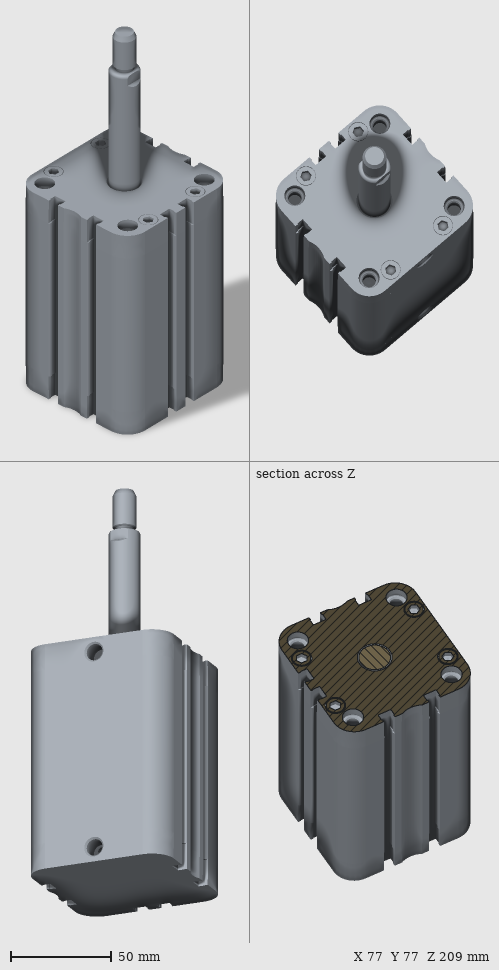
import cadquery as cq
import math

overall_height = 209.0
body_height = 119.1
body_width = 77.0
corner_radius = 12.0
cap_height = 13.5
cap_draft = 0.1

slot_depth = 5.2
barrel_slot_width = 6.0
cap_slot_width = 7.1
cap_slot_mouth_width = 6.3
barrel_slot_mouth_width = 5.0
slot_lip_thickness = 1.7
barrel_slot_chamfer = 0.6
wide_slot_offset = 13.0
narrow_slot_offset = 6.5
trough_width = 12.0
trough_depth = 1.5

mount_offset = 28.2
mount_bore_diameter = 10.5
mount_bore_depth = 5.0
mount_chamfer_diameter = 8.2
mount_hole_diameter = 6.7
mount_hole_depth = 11.5

head_x = 32.2
head_y = 17.3
head_diameter = 9.5
head_groove_diameter = 10.0
head_groove_depth = 0.8
socket_flats = 5.0
socket_depth = 3.1
left_socket_angle = 0
right_socket_angle = 30

port_inset = 7.7
port_diameter = 8.5
port_mouth_diameter = 10.5
port_depth = 10.0
feed_diameter = 4.0
feed_depth = 6.3
feed_offset = 1.0

rod_diameter = 16.0
rod_shoulder_drop = 21.7
rod_shoulder_fillet = 1.7
rod_recess_diameter = 18.0
thread_diameter = 12.0
thread_tip_diameter = 9.5
thread_tip_length = 2.7
neck_diameter = 9.8
neck_length = 1.9
thread_runout = 0.6
flat_distance = 13.0
flat_length = 5.6

half_width = body_width / 2
barrel_height = body_height - 2 * cap_height
barrel_top = cap_height + barrel_height
rod_shoulder_z = overall_height - rod_shoulder_drop
draft_angle = math.degrees(math.atan(cap_draft / cap_height))

slot_places = [
    (angle, sign * offset)
    for angle, offset in ((0, narrow_slot_offset), (90, wide_slot_offset), (-90, wide_slot_offset))
    for sign in (-1, 1)
]


def turned(shape, angle):
    """The shape turned about the Z axis."""
    return shape.rotate((0, 0, 0), (0, 0, 1), angle)


def rounded_square():
    """Outer section of the barrel and of the cap joint faces."""
    corners = cq.Sketch().rect(body_width, body_width).vertices().fillet(corner_radius)
    return cq.Workplane("XY").placeSketch(corners)


def cut_troughs(body, height):
    """Cut the shallow round trough along the middle of the -Y and +Y sides."""
    radius = ((trough_width / 2) ** 2 + trough_depth**2) / (2 * trough_depth)
    axis_distance = half_width - trough_depth + radius
    for sign in (-1, 1):
        body = body.cut(cq.Workplane("XY").center(0, sign * axis_distance).circle(radius).extrude(height))
    return body


def cut_slots(body, half_profile, height):
    """Cut a slot at every slot place; half_profile runs from the mouth to the floor."""
    mirrored = [(x, -y) for x, y in reversed(half_profile)]
    slot = cq.Workplane("XY").polyline(half_profile + mirrored).close().extrude(height)
    for angle, offset in slot_places:
        body = body.cut(turned(slot.translate((0, offset, 0)), angle))
    return body


def slot_half_profile(mouth_width, slot_width):
    """One side of a lipped slot, from the lip to the floor."""
    floor_x = half_width - slot_depth
    lip_x = half_width - slot_lip_thickness
    return [
        (half_width, mouth_width / 2),
        (lip_x, mouth_width / 2),
        (lip_x, slot_width / 2),
        (floor_x, slot_width / 2),
    ]


def make_barrel():
    """Middle section, whose slots have narrow chamfered mouths."""
    mouth_half = barrel_slot_mouth_width / 2
    chamfer = [
        (half_width, mouth_half + barrel_slot_chamfer),
        (half_width - barrel_slot_chamfer, mouth_half),
    ]
    inner_profile = slot_half_profile(barrel_slot_mouth_width, barrel_slot_width)[1:]
    barrel = rounded_square().extrude(barrel_height)
    barrel = cut_slots(barrel, chamfer + inner_profile, barrel_height)
    barrel = cut_troughs(barrel, barrel_height)
    return barrel.translate((0, 0, cap_height))


def cut_port(cap):
    """Cut the threaded air port, with its countersunk mouth, into the -X side of a cap."""
    port_z = cap_height - port_inset
    face_x = -half_width + cap_draft * port_z / cap_height
    countersink = (port_mouth_diameter - port_diameter) / 2
    outline = [
        (-half_width, 0),
        (-half_width, port_mouth_diameter / 2),
        (face_x, port_mouth_diameter / 2),
        (face_x + countersink, port_diameter / 2),
        (face_x + port_depth, port_diameter / 2),
        (face_x + port_depth, 0),
    ]
    port = cq.Workplane("XY").polyline(outline).close().revolve(360, (0, 0, 0), (1, 0, 0))
    return cap.cut(port.translate((0, 0, port_z)))


def make_cap():
    """Cap common to both ends: joint face at z = 0, outer end at z = cap_height."""
    cap = rounded_square().extrude(cap_height, taper=draft_angle)
    half_profile = slot_half_profile(cap_slot_mouth_width, cap_slot_width)
    cap = cut_slots(cap, half_profile, cap_height)
    cap = cut_troughs(cap, cap_height)
    return cut_port(cap)


def cut_mounting_holes(cap):
    """Stepped blind holes in the four corners of the outer end."""
    bore_floor = cap_height - mount_bore_depth
    chamfer = (mount_chamfer_diameter - mount_hole_diameter) / 2
    outline = [
        (0, cap_height),
        (mount_bore_diameter / 2, cap_height),
        (mount_bore_diameter / 2, bore_floor),
        (mount_chamfer_diameter / 2, bore_floor),
        (mount_hole_diameter / 2, bore_floor - chamfer),
        (mount_hole_diameter / 2, cap_height - mount_hole_depth),
        (0, cap_height - mount_hole_depth),
    ]
    hole = cq.Workplane("XZ").polyline(outline).close().revolve(360, (0, 0, 0), (0, 1, 0))
    for x in (-mount_offset, mount_offset):
        for y in (-mount_offset, mount_offset):
            cap = cap.cut(hole.translate((x, y, 0)))
    return cap


def cut_screw_heads(cap):
    """Ring groove and hexagon socket for each of the four screw heads."""
    end_plane = cq.Workplane("XY").workplane(offset=cap_height)
    groove = end_plane.circle(head_groove_diameter / 2).circle(head_diameter / 2).extrude(-head_groove_depth)
    socket = end_plane.polygon(6, socket_flats, circumscribed=True).extrude(-socket_depth)
    for x, socket_angle in ((-head_x, left_socket_angle), (head_x, right_socket_angle)):
        for y in (-head_y, head_y):
            cap = cap.cut(groove.translate((x, y, 0)))
            cap = cap.cut(turned(socket, socket_angle).translate((x, y, 0)))
    return cap


def make_front_cap():
    """Cap at the rod end, bored for the rod."""
    countersink = (rod_recess_diameter - rod_diameter) / 2
    outline = [
        (0, 0),
        (rod_diameter / 2, 0),
        (rod_diameter / 2, cap_height - countersink),
        (rod_recess_diameter / 2, cap_height),
        (0, cap_height),
    ]
    rod_hole = cq.Workplane("XZ").polyline(outline).close().revolve(360, (0, 0, 0), (0, 1, 0))
    cap = make_cap().cut(rod_hole)
    cap = cut_mounting_holes(cap)
    cap = cut_screw_heads(cap)
    return cap.translate((0, 0, barrel_top))


def make_rear_cap():
    """Plain closed cap, with a small feed hole in the floor of its port."""
    cap = make_cap().mirror("XY").translate((0, 0, cap_height))
    feed = (
        cq.Workplane("YZ", origin=(-half_width, 0, port_inset + feed_offset))
        .circle(feed_diameter / 2)
        .extrude(port_depth + feed_depth)
    )
    return cap.cut(feed)


def make_rod():
    """Piston rod with wrench flats, undercut neck and threaded end."""
    rod = (
        cq.Workplane("XY")
        .workplane(offset=barrel_top)
        .circle(rod_diameter / 2)
        .extrude(rod_shoulder_z - barrel_top)
        .faces(">Z")
        .edges()
        .fillet(rod_shoulder_fillet)
    )
    return cut_wrench_flats(rod).union(make_thread())


def make_thread():
    """Neck and threaded end, without the thread helix."""
    neck_top = rod_shoulder_z + neck_length
    outline = [
        (0, rod_shoulder_z),
        (neck_diameter / 2, rod_shoulder_z),
        (neck_diameter / 2, neck_top),
        (thread_diameter / 2, neck_top + thread_runout),
        (thread_diameter / 2, overall_height - thread_tip_length),
        (thread_tip_diameter / 2, overall_height),
        (0, overall_height),
    ]
    return cq.Workplane("XZ").polyline(outline).close().revolve(360, (0, 0, 0), (0, 1, 0))


def cut_wrench_flats(rod):
    """Two flats facing -X and +X that run out at 45 degrees into the round rod."""
    flat_x = flat_distance / 2
    flat_bottom = rod_shoulder_z - flat_length
    runout = rod_diameter / 2 - flat_x
    outline = [
        (flat_x, rod_shoulder_z),
        (flat_x, flat_bottom),
        (flat_x + runout, flat_bottom - runout),
        (flat_x + runout, rod_shoulder_z),
    ]
    wedge = cq.Workplane("XZ").polyline(outline).close().extrude(rod_diameter / 2, both=True)
    return rod.cut(wedge).cut(turned(wedge, 180))


rear_cap = make_rear_cap()
barrel = make_barrel()
front_cap = make_front_cap()
rod = make_rod()

result = cq.Compound.makeCompound([rear_cap.val(), barrel.val(), front_cap.val(), rod.val()])